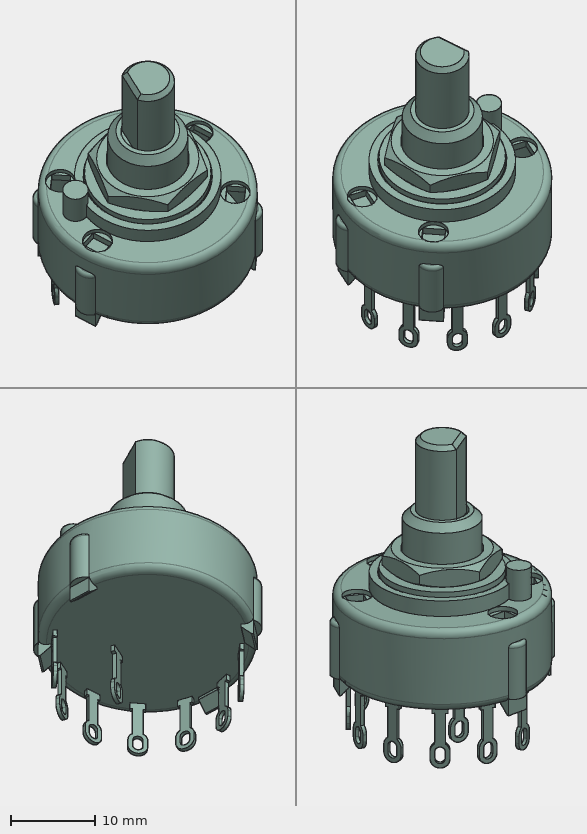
import cadquery as cq
import math


BODY_D = 26.0
BODY_H = 10.5
BODY_FILLET = 1.0
WALL_T = 1.0
FLOOR_T = 1.0
CEILING_T = 1.5
CAVITY_D = BODY_D - 2 * WALL_T

FLANGE_D = 17.35
FLANGE_H = 2.0
WASHER_D = 15.0
WASHER_RECESS_D = 15.3
WASHER_RECESS_DEPTH = 0.2
WASHER_H = 0.6
BUSHING_D = 9.5
BUSHING_TOP_Z = 20.52
BUSHING_CHAMFER = 1.0
FLANGE_TOP_Z = BODY_H + FLANGE_H
WASHER_TOP_Z = FLANGE_TOP_Z + WASHER_H

NUT_FLATS = 12.45
NUT_H = 2.47
NUT_BORE_D = 9.85
NUT_FACE_D = 12.12
NUT_BEVEL_ANGLE = 30
NUT_TURN = -5.7

SHAFT_D = 6.35
SHAFT_TOP_Z = 30.02
SHAFT_FLAT = 2.35
SHAFT_CHAMFER = 0.57
FLAT_SINK = 1.0

PIN_D = 3.0
PIN_H = 4.0
PIN_RADIUS = 9.45

CLIP_ANGLES = (60, 120, 240, 300)
POCKET_RADIUS = 10.4
POCKET_D = 3.55
POCKET_DEPTH = 0.57
POCKET_WIDTH = 2.75
CLIP_WIDTH = 2.9
CLIP_FACE_R = 12.92
COLUMN_D = 3.55
COLUMN_BOTTOM_Z = 0.45
COLUMN_TOP_Z = 7.6
COLUMN_FILLET = 0.5
HOOK_BOTTOM_Z = -1.67
HOOK_REACH = 1.52
HOOK_LIP = 0.23
HOOK_SLOPE_Z = -0.38

TERMINAL_ANGLES = range(75, 256, 30)
TERMINAL_RADIUS = 11.15
COMMON_ANGLE = 225
COMMON_RADIUS = 4.03
TERMINAL_T = 0.5
TERMINAL_WIDTH = 1.3
TERMINAL_BOTTOM_Z = -7.98
SHOULDER_WIDTH = 1.9
COMMON_SHOULDER_WIDTH = 2.3
SHOULDER_H = 0.9
EYE_WIDTH = 2.4
EYE_SLOT_WIDTH = 1.2
EYE_STRAIGHT = 0.9
TERMINAL_ROOT = 0.75


def disc(diameter, bottom_z, height):
    return cq.Workplane("XY").workplane(offset=bottom_z).circle(diameter / 2).extrude(height)


def make_cavity():
    return disc(CAVITY_D, FLOOR_T, BODY_H - FLOOR_T - CEILING_T)


def make_housing():
    """Hollow round housing with pockets that open through its top into the cavity."""
    body = disc(BODY_D, 0, BODY_H).edges().fillet(BODY_FILLET)
    body = body.cut(make_cavity())
    for angle in CLIP_ANGLES:
        body = body.cut(make_pocket(angle))
    return body


def make_pocket(angle):
    """Round recess with a rectangular opening through the ceiling inscribed in it."""
    radial_size = math.sqrt(POCKET_D**2 - POCKET_WIDTH**2)
    top = cq.Workplane("XY").workplane(offset=BODY_H).center(POCKET_RADIUS, 0)
    recess = top.circle(POCKET_D / 2).extrude(-POCKET_DEPTH)
    opening = top.rect(radial_size, POCKET_WIDTH).extrude(-CEILING_T)
    return recess.union(opening).rotate((0, 0, 0), (0, 0, 1), angle)


def make_stack():
    """Flange, washer seated in its shallow recess, and bushing."""
    flange = disc(FLANGE_D, BODY_H, FLANGE_H)
    recess_z = FLANGE_TOP_Z - WASHER_RECESS_DEPTH
    flange = flange.cut(disc(WASHER_RECESS_D, recess_z, WASHER_RECESS_DEPTH))
    washer = disc(WASHER_D, recess_z, WASHER_RECESS_DEPTH + WASHER_H)
    bushing = disc(BUSHING_D, BODY_H, BUSHING_TOP_Z - BODY_H)
    bushing = bushing.faces(">Z").chamfer(BUSHING_CHAMFER)
    return flange.union(washer).union(bushing).cut(make_shaft_gap())


def make_nut():
    """Hexagon whose corners are bevelled at both ends, with clearance around the bushing."""
    corner_r = NUT_FLATS / math.sqrt(3)
    face_r = NUT_FACE_D / 2
    bevel_h = (corner_r - face_r) * math.tan(math.radians(NUT_BEVEL_ANGLE))
    bevelled_blank = (
        cq.Workplane("XZ")
        .polyline([
            (0, 0),
            (face_r, 0),
            (corner_r, bevel_h),
            (corner_r, NUT_H - bevel_h),
            (face_r, NUT_H),
            (0, NUT_H),
        ])
        .close()
        .revolve(360, (0, 0, 0), (0, 1, 0))
    )
    hexagon = cq.Workplane("XY").polygon(6, 2 * corner_r).extrude(NUT_H)
    nut = hexagon.rotate((0, 0, 0), (0, 0, 1), NUT_TURN).intersect(bevelled_blank)
    return nut.cut(disc(NUT_BORE_D, 0, NUT_H)).translate((0, 0, WASHER_TOP_Z))


def make_shaft_gap():
    """Space left in the bushing bore where the shaft flat runs below the bushing rim."""
    gap_side = (
        cq.Workplane("XY")
        .box(SHAFT_D, SHAFT_D, FLAT_SINK, centered=(True, False, False))
        .translate((0, -SHAFT_FLAT - SHAFT_D, BUSHING_TOP_Z - FLAT_SINK))
    )
    return disc(SHAFT_D, BUSHING_TOP_Z - FLAT_SINK, FLAT_SINK).intersect(gap_side)


def make_shaft():
    """Exposed shaft end, with the flat facing -Y."""
    height = SHAFT_TOP_Z - BUSHING_TOP_Z
    kept_side = (
        cq.Workplane("XY")
        .box(SHAFT_D, SHAFT_D, height, centered=(True, False, False))
        .translate((0, -SHAFT_FLAT, BUSHING_TOP_Z))
    )
    shaft = disc(SHAFT_D, BUSHING_TOP_Z, height).intersect(kept_side)
    return shaft.faces(">Z").chamfer(SHAFT_CHAMFER)


def make_pin():
    return disc(PIN_D, BODY_H, PIN_H).translate((0, -PIN_RADIUS, 0))


def make_clip(angle):
    """Rounded column on the housing wall, with a hook below it that points inward."""
    half_width = CLIP_WIDTH / 2
    axis_r = CLIP_FACE_R - math.sqrt((COLUMN_D / 2) ** 2 - half_width**2)
    column = (
        cq.Workplane("XY")
        .workplane(offset=COLUMN_BOTTOM_Z)
        .moveTo(axis_r, -half_width)
        .lineTo(CLIP_FACE_R, -half_width)
        .threePointArc((axis_r + COLUMN_D / 2, 0), (CLIP_FACE_R, half_width))
        .lineTo(axis_r, half_width)
        .close()
        .extrude(COLUMN_TOP_Z - COLUMN_BOTTOM_Z)
        .faces(">Z")
        .edges()
        .fillet(COLUMN_FILLET)
    )
    hook = (
        cq.Workplane("XZ")
        .polyline([
            (CLIP_FACE_R, FLOOR_T),
            (CLIP_FACE_R, HOOK_BOTTOM_Z),
            (CLIP_FACE_R - HOOK_LIP, HOOK_BOTTOM_Z),
            (CLIP_FACE_R - HOOK_REACH, HOOK_SLOPE_Z),
            (CLIP_FACE_R - HOOK_REACH, FLOOR_T),
        ])
        .close()
        .extrude(half_width, both=True)
    )
    clip = column.union(hook).cut(make_cavity())
    return clip.rotate((0, 0, 0), (0, 0, 1), angle)


def make_terminal(angle, radius, shoulder_width):
    """Flat solder lug facing outward, with a shoulder on top and a slotted eye at its end."""
    eye_z = TERMINAL_BOTTOM_Z + (EYE_WIDTH + EYE_STRAIGHT) / 2
    plane = cq.Workplane("YZ")

    def strip(width, bottom_z):
        height = TERMINAL_ROOT - bottom_z
        outline = plane.center(0, bottom_z + height / 2).rect(width, height)
        return outline.extrude(TERMINAL_T / 2, both=True)

    def eye_shape(width):
        outline = plane.center(0, eye_z).slot2D(EYE_STRAIGHT + width, width, 90)
        return outline.extrude(TERMINAL_T / 2, both=True)

    lug = strip(shoulder_width, -SHOULDER_H).union(strip(TERMINAL_WIDTH, eye_z))
    lug = lug.union(eye_shape(EYE_WIDTH)).cut(eye_shape(EYE_SLOT_WIDTH))
    return lug.translate((radius, 0, 0)).rotate((0, 0, 0), (0, 0, 1), angle)


result = make_housing().union(make_stack()).union(make_nut()).union(make_shaft()).union(make_pin())

for clip_angle in CLIP_ANGLES:
    result = result.union(make_clip(clip_angle))

for terminal_angle in TERMINAL_ANGLES:
    result = result.union(make_terminal(terminal_angle, TERMINAL_RADIUS, SHOULDER_WIDTH))

result = result.union(make_terminal(COMMON_ANGLE, COMMON_RADIUS, COMMON_SHOULDER_WIDTH))